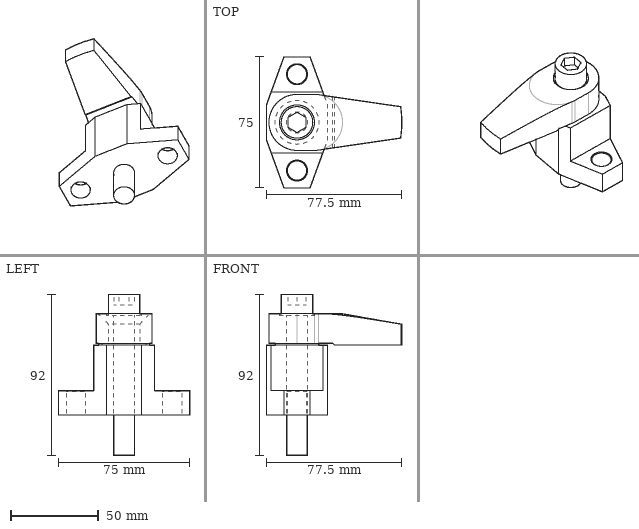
import cadquery as cq
import math

BASE_WIDTH = 35.0
BASE_HEIGHT = 40.0
BASE_FACE_HALF = 10.0
FLANGE_LENGTH = 75.0
FLANGE_END_WIDTH = 15.0
FLANGE_HEIGHT = 14.0
MOUNT_HOLE_SPACING = 55.0
MOUNT_HOLE_DIAMETER = 11.0
MOUNT_HOLE_CHAMFER = 0.5

SHANK_DIAMETER = 12.0
SHANK_LENGTH_BELOW_BASE = 23.0
HEAD_DIAMETER = 18.0
HEAD_HEIGHT = 12.0
SCREW_TOP = 69.0
HEX_ACROSS_FLATS = 10.0
HEX_DEPTH = 6.0

HUB_RADIUS = 16.0
HUB_OFFSET = 10.0
HUB_TOP = 58.0
HUB_BOTTOM = 41.0
COLLAR_DIAMETER = 25.0
HEAD_RECESS_DIAMETER = 20.0
ARM_REACH = 60.0
ARM_END_HALF_WIDTH = 9.0
ARM_END_TOP = 52.0
ARM_STEP_X = 20.4

HEAD_SEAT = SCREW_TOP - HEAD_HEIGHT


def make_base():
    half_width = BASE_WIDTH / 2
    half_length = FLANGE_LENGTH / 2
    half_end = FLANGE_END_WIDTH / 2
    outline = [
        (-half_end, -half_length),
        (half_end, -half_length),
        (half_width, -BASE_FACE_HALF),
        (half_width, BASE_FACE_HALF),
        (half_end, half_length),
        (-half_end, half_length),
        (-half_width, BASE_FACE_HALF),
        (-half_width, -BASE_FACE_HALF),
    ]
    flange = cq.Workplane("XY").polyline(outline).close().extrude(FLANGE_HEIGHT)
    column = cq.Workplane("XY").polyline(outline).close().extrude(BASE_HEIGHT)
    block = cq.Workplane("XY").rect(BASE_WIDTH, BASE_WIDTH).extrude(BASE_HEIGHT)
    base = flange.union(column.intersect(block))

    half_spacing = MOUNT_HOLE_SPACING / 2
    base = (
        base.faces("<Z").workplane(origin=(0, 0, 0))
        .pushPoints([(0, -half_spacing), (0, half_spacing)])
        .hole(MOUNT_HOLE_DIAMETER)
    )
    for y in (-half_spacing, half_spacing):
        countersink = cq.Solid.makeCone(
            MOUNT_HOLE_DIAMETER / 2,
            MOUNT_HOLE_DIAMETER / 2 + MOUNT_HOLE_CHAMFER,
            MOUNT_HOLE_CHAMFER,
            pnt=cq.Vector(0, y, FLANGE_HEIGHT - MOUNT_HOLE_CHAMFER),
        )
        base = base.cut(cq.Workplane(countersink))

    screw_bore = cq.Workplane("XY").circle(SHANK_DIAMETER / 2).extrude(BASE_HEIGHT)
    return base.cut(screw_bore)


def make_arm():
    corner_x = math.sqrt(ARM_REACH**2 - ARM_END_HALF_WIDTH**2)
    run = corner_x - HUB_OFFSET
    tangent_angle = math.atan2(ARM_END_HALF_WIDTH, run) + math.acos(
        HUB_RADIUS / math.hypot(run, ARM_END_HALF_WIDTH)
    )
    tangent_x = HUB_OFFSET + HUB_RADIUS * math.cos(tangent_angle)
    tangent_y = HUB_RADIUS * math.sin(tangent_angle)
    plan = (
        cq.Workplane("XY", origin=(0, 0, BASE_HEIGHT))
        .moveTo(tangent_x, -tangent_y)
        .lineTo(corner_x, -ARM_END_HALF_WIDTH)
        .threePointArc((ARM_REACH, 0), (corner_x, ARM_END_HALF_WIDTH))
        .lineTo(tangent_x, tangent_y)
        .close()
        .extrude(HUB_TOP - BASE_HEIGHT)
    )

    end_radius = ARM_REACH - HUB_OFFSET
    slope = (HUB_TOP - ARM_END_TOP) / (end_radius - HUB_RADIUS)
    cone_radius = end_radius + HUB_RADIUS
    cone_edge = HUB_TOP - slope * (cone_radius - HUB_RADIUS)
    cone = (
        cq.Workplane("XZ", origin=(HUB_OFFSET, 0, 0))
        .polyline([
            (0, 0),
            (cone_radius, 0),
            (cone_radius, cone_edge),
            (HUB_RADIUS, HUB_TOP),
            (0, HUB_TOP),
        ])
        .close()
        .revolve(360, (0, 0), (0, 1))
    )

    drop = HUB_BOTTOM - BASE_HEIGHT
    relief = (
        cq.Workplane("XZ", origin=(0, HUB_RADIUS, 0))
        .polyline([
            (0, BASE_HEIGHT),
            (ARM_STEP_X + drop, BASE_HEIGHT),
            (ARM_STEP_X, HUB_BOTTOM),
            (0, HUB_BOTTOM),
        ])
        .close()
        .extrude(2 * HUB_RADIUS)
    )
    return plan.intersect(cone).cut(relief)


def make_lever():
    hub = (
        cq.Workplane("XY", origin=(HUB_OFFSET / 2, 0, HUB_BOTTOM))
        .slot2D(HUB_OFFSET + 2 * HUB_RADIUS, 2 * HUB_RADIUS)
        .extrude(HUB_TOP - HUB_BOTTOM)
    )
    collar = (
        cq.Workplane("XY", origin=(0, 0, BASE_HEIGHT))
        .circle(COLLAR_DIAMETER / 2)
        .extrude(HUB_BOTTOM - BASE_HEIGHT)
    )
    screw_bore = (
        cq.Workplane("XY", origin=(0, 0, BASE_HEIGHT))
        .circle(SHANK_DIAMETER / 2)
        .extrude(HUB_TOP - BASE_HEIGHT)
    )
    head_recess = (
        cq.Workplane("XY", origin=(0, 0, HEAD_SEAT))
        .circle(HEAD_RECESS_DIAMETER / 2)
        .extrude(HUB_TOP - HEAD_SEAT)
    )
    return hub.union(make_arm()).union(collar).cut(screw_bore).cut(head_recess)


def make_screw():
    shank = (
        cq.Workplane("XY", origin=(0, 0, -SHANK_LENGTH_BELOW_BASE))
        .circle(SHANK_DIAMETER / 2)
        .extrude(SHANK_LENGTH_BELOW_BASE + HEAD_SEAT)
    )
    head = (
        cq.Workplane("XY", origin=(0, 0, HEAD_SEAT))
        .circle(HEAD_DIAMETER / 2)
        .extrude(HEAD_HEIGHT)
    )
    hex_corner_diameter = HEX_ACROSS_FLATS / math.cos(math.radians(30))
    socket = (
        cq.Workplane("XY", origin=(0, 0, SCREW_TOP - HEX_DEPTH))
        .polygon(6, hex_corner_diameter)
        .extrude(HEX_DEPTH)
        .rotate((0, 0, 0), (0, 0, 1), 30)
    )
    return shank.union(head).cut(socket)


base = make_base()
lever = make_lever()
screw = make_screw()

result = cq.Compound.makeCompound([
    base.solids().val(),
    lever.solids().val(),
    screw.solids().val(),
])